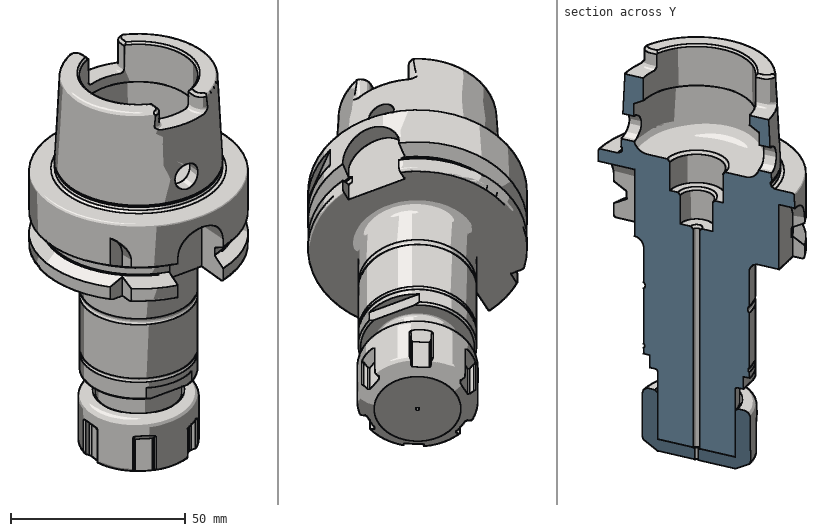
import cadquery as cq
import math

TOTAL_HEIGHT = 126.0
BEYOND = 75.6

SHANK_LENGTH = 32.0
FLANGE_TOP = TOTAL_HEIGHT - SHANK_LENGTH
TAPER_RADIUS_DROP = 1 / 20
TAPER_BASE_RADIUS = 24.2
TAPER_BASE_HEIGHT = FLANGE_TOP + 2.1
TAPER_TOP_RADIUS = TAPER_BASE_RADIUS - TAPER_RADIUS_DROP * (TOTAL_HEIGHT - TAPER_BASE_HEIGHT)
SHANK_ROUND = 1.3
RELIEF_DEPTH = 0.4
RELIEF_BOTTOM = FLANGE_TOP + 0.5
RELIEF_FLOOR_BOTTOM = RELIEF_BOTTOM + 0.8
RELIEF_FOOT_WIDTH = 1.0

BORE_RADIUS = 17.0
BORE_CHAMFER = 0.6
BORE_LENGTH = 13.2
UNDERCUT_RADIUS = 20.0
UNDERCUT_CONE_ANGLE = 60.0
BORE_FLOOR = 95.8
BORE_FLOOR_ROUND = 4.3
PIPE_SEAT_RADIUS = 8.5
PIPE_SEAT_CHAMFER = 0.9
PIPE_SEAT_DEPTH = 10.1
PILOT_RADIUS = 5.2
PILOT_CHAMFER = 0.8
PILOT_DEPTH = 10.1
COOLANT_RADIUS = 1.0
COOLANT_CHAMFER = 0.8
NUT_HOLE_RADIUS = 0.5

NOTCH_HALF_WIDTH = 6.3
NOTCH_CORNER_RADIUS = 3.0
NOTCH_TANGENT_RADIUS = 23.2
NOTCH_RIM_CHAMFER = 0.9
NOTCH_FLOOR_ROUND = 1.4
LEFT_NOTCH_FLOOR = 116.0
RIGHT_NOTCH_FLOOR = 120.2

CROSS_HOLE_RADIUS = 4.0
CROSS_HOLE_HEIGHT = 103.0

FLANGE_RADIUS = 31.5
FLANGE_WIDTH = 26.0
FLANGE_BOTTOM = FLANGE_TOP - FLANGE_WIDTH
FLANGE_ROUND = 0.9
GROOVE_HEIGHT = FLANGE_TOP - 17.9
GROOVE_RADIUS = 27.6
GROOVE_MOUTH = 7.2
GROOVE_FLANK_ANGLE = 30.0
GROOVE_CORNER = 0.3
GROOVE_FLOOR = GROOVE_MOUTH - 2 * (FLANGE_RADIUS - GROOVE_RADIUS) * math.tan(math.radians(GROOVE_FLANK_ANGLE))

LEFT_KEYWAY_FLOOR = 26.5
LEFT_KEYWAY_WIDTH = 18.0
LEFT_KEYWAY_TOP = 89.1
RIGHT_KEYWAY_FLOOR = 19.9
RIGHT_KEYWAY_WIDTH = 16.0
RIGHT_KEYWAY_TOP = 89.7
CORNER_SLOT_WALL = 20.0

LABEL_LENGTH = 20.0
LABEL_HEIGHT = 6.3
LABEL_MID_HEIGHT = 87.0
LABEL_ANGLE = 135.0

BODY_RADIUS = 17.0
BODY_ROUND = 2.9
COLLAR_BOTTOM = 26.5
COLLAR_CHAMFER = 0.6
UPPER_RING_HEIGHT = 52.8
UPPER_RING_WIDTH = 2.0
UPPER_RING_DEPTH = 0.5
LOWER_RING_HEIGHT = 33.1
LOWER_RING_WIDTH = 1.3
LOWER_RING_DEPTH = 0.4
NECK_RADIUS = 12.5
NECK_ROUND = 0.8
NECK_BOTTOM = 3.8
WRENCH_FLAT_DISTANCE = 15.0
WRENCH_FLAT_TOP = 30.5

NUT_RADIUS = 17.4
NUT_HEIGHT = 19.8
NUT_TOP_ROUND = 2.3
NUT_FACE_RADIUS = 12.5
NUT_CONE_ANGLE = 30.0
NUT_CONE_HEIGHT = (NUT_RADIUS - NUT_FACE_RADIUS) * math.tan(math.radians(NUT_CONE_ANGLE))
NUT_LOWER_ROUND = 1.5
NUT_MOUTH_CHAMFER = 0.8

SLOT_COUNT = 6
SLOT_FIRST_ANGLE = 30.0
SLOT_FLOOR_DISTANCE = 14.9
SLOT_FLOOR_HALF_WIDTH = 2.46
SLOT_FLOOR_CHAMFER = 0.44
SLOT_HALF_WIDTH = SLOT_FLOOR_HALF_WIDTH + SLOT_FLOOR_CHAMFER
SLOT_FLARE = 0.5
SLOT_MOUTH_HALF_WIDTH = SLOT_HALF_WIDTH + SLOT_FLARE
SLOT_MOUTH_DISTANCE = math.sqrt(NUT_RADIUS**2 - SLOT_MOUTH_HALF_WIDTH**2)
SLOT_TOP_CORNER = 0.9
FRONT_SLOT_TOP = 14.7
BACK_SLOT_TOP = 13.2


def revolved(outline):
    """Turn a closed outline of (radius, height) points around Z."""
    return outline.close().revolve(360, (0, 0), (0, 1))


def turned_body():
    """Outer shape of the holder: neck, body, flange and taper shank."""
    flank_end_radius = GROOVE_RADIUS + GROOVE_CORNER * math.cos(math.radians(GROOVE_FLANK_ANGLE))
    flank_end_offset = GROOVE_FLOOR / 2 + GROOVE_CORNER * math.sin(math.radians(GROOVE_FLANK_ANGLE))
    floor_end_offset = GROOVE_FLOOR / 2 - GROOVE_CORNER
    outline = (
        cq.Workplane("XZ")
        .moveTo(0, NECK_BOTTOM)
        .lineTo(NECK_RADIUS, NECK_BOTTOM)
        .lineTo(NECK_RADIUS, COLLAR_BOTTOM - NECK_ROUND)
        .tangentArcPoint((NECK_RADIUS + NECK_ROUND, COLLAR_BOTTOM), relative=False)
        .lineTo(BODY_RADIUS - COLLAR_CHAMFER, COLLAR_BOTTOM)
        .lineTo(BODY_RADIUS, COLLAR_BOTTOM + COLLAR_CHAMFER)
        .lineTo(BODY_RADIUS, FLANGE_BOTTOM - BODY_ROUND)
        .tangentArcPoint((BODY_RADIUS + BODY_ROUND, FLANGE_BOTTOM), relative=False)
        .lineTo(FLANGE_RADIUS - FLANGE_ROUND, FLANGE_BOTTOM)
        .tangentArcPoint((FLANGE_RADIUS, FLANGE_BOTTOM + FLANGE_ROUND), relative=False)
        .lineTo(FLANGE_RADIUS, GROOVE_HEIGHT - GROOVE_MOUTH / 2)
        .lineTo(flank_end_radius, GROOVE_HEIGHT - flank_end_offset)
        .tangentArcPoint((GROOVE_RADIUS, GROOVE_HEIGHT - floor_end_offset), relative=False)
        .lineTo(GROOVE_RADIUS, GROOVE_HEIGHT + floor_end_offset)
        .tangentArcPoint((flank_end_radius, GROOVE_HEIGHT + flank_end_offset), relative=False)
        .lineTo(FLANGE_RADIUS, GROOVE_HEIGHT + GROOVE_MOUTH / 2)
        .lineTo(FLANGE_RADIUS, FLANGE_TOP - FLANGE_ROUND)
        .tangentArcPoint((FLANGE_RADIUS - FLANGE_ROUND, FLANGE_TOP), relative=False)
        .lineTo(TAPER_BASE_RADIUS + RELIEF_FOOT_WIDTH, FLANGE_TOP)
        .lineTo(TAPER_BASE_RADIUS, RELIEF_BOTTOM)
        .lineTo(TAPER_BASE_RADIUS - RELIEF_DEPTH, RELIEF_FLOOR_BOTTOM)
        .lineTo(TAPER_BASE_RADIUS - RELIEF_DEPTH, TAPER_BASE_HEIGHT - RELIEF_DEPTH)
        .lineTo(TAPER_BASE_RADIUS, TAPER_BASE_HEIGHT)
        .lineTo(TAPER_TOP_RADIUS, TOTAL_HEIGHT)
        .lineTo(0, TOTAL_HEIGHT)
    )
    return revolved(outline).faces(">Z").edges().fillet(SHANK_ROUND)


def ring_groove(height, width, depth):
    """Round-bottomed groove around the body."""
    outline = (
        cq.Workplane("XZ")
        .moveTo(BODY_RADIUS, height - width / 2)
        .threePointArc((BODY_RADIUS - depth, height), (BODY_RADIUS, height + width / 2))
        .lineTo(BODY_RADIUS + depth, height + width / 2)
        .lineTo(BODY_RADIUS + depth, height - width / 2)
    )
    return revolved(outline)


def stepped_bore():
    """Shank bore with its undercut, then the stepped coolant passage."""
    bore_end = TOTAL_HEIGHT - BORE_LENGTH
    undercut_rise = (UNDERCUT_RADIUS - BORE_RADIUS) / math.tan(math.radians(UNDERCUT_CONE_ANGLE))
    seat_floor = BORE_FLOOR - PIPE_SEAT_DEPTH
    pilot_floor = seat_floor - PILOT_DEPTH
    outline = (
        cq.Workplane("XZ")
        .moveTo(0, TOTAL_HEIGHT)
        .lineTo(BORE_RADIUS + BORE_CHAMFER, TOTAL_HEIGHT)
        .lineTo(BORE_RADIUS, TOTAL_HEIGHT - BORE_CHAMFER)
        .lineTo(BORE_RADIUS, bore_end)
        .lineTo(UNDERCUT_RADIUS, bore_end - undercut_rise)
        .lineTo(UNDERCUT_RADIUS, BORE_FLOOR + BORE_FLOOR_ROUND)
        .tangentArcPoint((UNDERCUT_RADIUS - BORE_FLOOR_ROUND, BORE_FLOOR), relative=False)
        .lineTo(PIPE_SEAT_RADIUS + PIPE_SEAT_CHAMFER, BORE_FLOOR)
        .lineTo(PIPE_SEAT_RADIUS, BORE_FLOOR - PIPE_SEAT_CHAMFER)
        .lineTo(PIPE_SEAT_RADIUS, seat_floor)
        .lineTo(PILOT_RADIUS + PILOT_CHAMFER, seat_floor)
        .lineTo(PILOT_RADIUS, seat_floor - PILOT_CHAMFER)
        .lineTo(PILOT_RADIUS, pilot_floor)
        .lineTo(COOLANT_RADIUS + COOLANT_CHAMFER, pilot_floor)
        .lineTo(COOLANT_RADIUS, pilot_floor - COOLANT_CHAMFER)
        .lineTo(COOLANT_RADIUS, NECK_BOTTOM)
        .lineTo(0, NECK_BOTTOM)
    )
    return revolved(outline)


def notch_outline(height):
    """Plan of a drive notch on the +X side: parallel walls whose outer corners are rounded."""
    corner_y = NOTCH_HALF_WIDTH + NOTCH_CORNER_RADIUS
    corner_x = math.sqrt((NOTCH_TANGENT_RADIUS - NOTCH_CORNER_RADIUS) ** 2 - corner_y**2)
    angle = math.atan2(corner_y, corner_x)
    round_end_x = NOTCH_TANGENT_RADIUS * math.cos(angle)
    round_end_y = NOTCH_TANGENT_RADIUS * math.sin(angle)
    clear_x = round_end_x - NOTCH_TANGENT_RADIUS * math.sin(angle)
    clear_y = round_end_y + NOTCH_TANGENT_RADIUS * math.cos(angle)
    return (
        cq.Workplane("XY", origin=(0, 0, height))
        .moveTo(0, -NOTCH_HALF_WIDTH)
        .lineTo(corner_x, -NOTCH_HALF_WIDTH)
        .tangentArcPoint((round_end_x, -round_end_y), relative=False)
        .lineTo(clear_x, -clear_y)
        .lineTo(BEYOND, -clear_y)
        .lineTo(BEYOND, clear_y)
        .lineTo(clear_x, clear_y)
        .lineTo(round_end_x, round_end_y)
        .tangentArcPoint((corner_x, NOTCH_HALF_WIDTH), relative=False)
        .lineTo(0, NOTCH_HALF_WIDTH)
        .close()
    )


def drive_notch(floor_height, angle):
    """Notch in the shank end with a rounded floor and a chamfered rim."""
    slot = notch_outline(floor_height).extrude(BEYOND).faces("<Z").edges().fillet(NOTCH_FLOOR_ROUND)
    rim = notch_outline(TOTAL_HEIGHT - NOTCH_RIM_CHAMFER).extrude(NOTCH_RIM_CHAMFER, taper=-45)
    return slot.union(rim).rotate((0, 0, 0), (0, 0, 1), angle)


def keyway(floor_distance, width, top, middle_y, side):
    """Round-topped slot cut inwards along X as far as its floor."""
    radius = width / 2
    arc_height = top - radius
    return (
        cq.Workplane("YZ", origin=(side * floor_distance, 0, 0))
        .moveTo(middle_y - radius, FLANGE_BOTTOM)
        .lineTo(middle_y - radius, arc_height)
        .threePointArc((middle_y, top), (middle_y + radius, arc_height))
        .lineTo(middle_y + radius, FLANGE_BOTTOM)
        .close()
        .extrude(side * BEYOND)
    )


def label_flat():
    """Shallow flat for a label on the flange rim."""
    distance = math.sqrt(FLANGE_RADIUS**2 - (LABEL_LENGTH / 2) ** 2)
    return (
        cq.Workplane("XY")
        .box(BEYOND, LABEL_LENGTH, LABEL_HEIGHT, centered=(False, True, True))
        .translate((distance, 0, LABEL_MID_HEIGHT))
        .rotate((0, 0, 0), (0, 0, 1), LABEL_ANGLE)
    )


def wrench_flat(side):
    """Flat on the collar, open downwards to the neck."""
    return (
        cq.Workplane("XY")
        .box(BEYOND, BEYOND, WRENCH_FLAT_TOP - COLLAR_BOTTOM, centered=(True, True, False))
        .translate((side * (WRENCH_FLAT_DISTANCE + BEYOND / 2), 0, COLLAR_BOTTOM))
    )


def make_holder():
    cross_hole = (
        cq.Workplane("YZ")
        .center(0, CROSS_HOLE_HEIGHT)
        .circle(CROSS_HOLE_RADIUS)
        .extrude(BEYOND, both=True)
    )
    corner_slot_middle = -CORNER_SLOT_WALL - RIGHT_KEYWAY_WIDTH / 2
    cuts = [
        ring_groove(UPPER_RING_HEIGHT, UPPER_RING_WIDTH, UPPER_RING_DEPTH),
        ring_groove(LOWER_RING_HEIGHT, LOWER_RING_WIDTH, LOWER_RING_DEPTH),
        stepped_bore(),
        cross_hole,
        drive_notch(LEFT_NOTCH_FLOOR, 180),
        drive_notch(RIGHT_NOTCH_FLOOR, 0),
        keyway(LEFT_KEYWAY_FLOOR, LEFT_KEYWAY_WIDTH, LEFT_KEYWAY_TOP, 0, -1),
        keyway(RIGHT_KEYWAY_FLOOR, RIGHT_KEYWAY_WIDTH, RIGHT_KEYWAY_TOP, 0, 1),
        keyway(RIGHT_KEYWAY_FLOOR, RIGHT_KEYWAY_WIDTH, RIGHT_KEYWAY_TOP, corner_slot_middle, 1),
        label_flat(),
        wrench_flat(-1),
        wrench_flat(1),
    ]
    holder = turned_body()
    for cut in cuts:
        holder = holder.cut(cut)
    return holder


def turned_nut():
    """Nut blank with a recess that takes the holder's neck."""
    setback = NUT_LOWER_ROUND * math.tan(math.radians(90 - NUT_CONE_ANGLE) / 2)
    cone_end_radius = NUT_RADIUS - setback * math.cos(math.radians(NUT_CONE_ANGLE))
    cone_end_height = NUT_CONE_HEIGHT - setback * math.sin(math.radians(NUT_CONE_ANGLE))
    outline = (
        cq.Workplane("XZ")
        .moveTo(NUT_HOLE_RADIUS, 0)
        .lineTo(NUT_FACE_RADIUS, 0)
        .lineTo(cone_end_radius, cone_end_height)
        .tangentArcPoint((NUT_RADIUS, NUT_CONE_HEIGHT + setback), relative=False)
        .lineTo(NUT_RADIUS, NUT_HEIGHT - NUT_TOP_ROUND)
        .tangentArcPoint((NUT_RADIUS - NUT_TOP_ROUND, NUT_HEIGHT), relative=False)
        .lineTo(NECK_RADIUS + NUT_MOUTH_CHAMFER, NUT_HEIGHT)
        .lineTo(NECK_RADIUS, NUT_HEIGHT - NUT_MOUTH_CHAMFER)
        .lineTo(NECK_RADIUS, NECK_BOTTOM)
        .lineTo(NUT_HOLE_RADIUS, NECK_BOTTOM)
    )
    return revolved(outline)


def spanner_slot(top, angle):
    """Slot with flared sides and a 45 degree upper end, open at the nut's lower face."""
    section_half = [
        (SLOT_FLOOR_DISTANCE, SLOT_FLOOR_HALF_WIDTH),
        (SLOT_FLOOR_DISTANCE + SLOT_FLOOR_CHAMFER, SLOT_HALF_WIDTH),
        (SLOT_MOUTH_DISTANCE - SLOT_FLARE, SLOT_HALF_WIDTH),
        (SLOT_MOUTH_DISTANCE, SLOT_MOUTH_HALF_WIDTH),
        (BEYOND, SLOT_MOUTH_HALF_WIDTH),
    ]
    mirrored_half = [(x, -y) for x, y in reversed(section_half)]
    section = cq.Workplane("XY").polyline(section_half + mirrored_half).close().extrude(top)

    floor_top = top - (NUT_RADIUS - SLOT_FLOOR_DISTANCE)
    side_profile = (
        cq.Workplane("XZ")
        .polyline(
            [
                (SLOT_FLOOR_DISTANCE, 0),
                (SLOT_FLOOR_DISTANCE, floor_top),
                (NUT_RADIUS, top),
                (BEYOND, top),
                (BEYOND, 0),
            ]
        )
        .close()
        .extrude(SLOT_MOUTH_HALF_WIDTH, both=True)
    )
    front_profile = (
        cq.Workplane("YZ")
        .rect(2 * SLOT_MOUTH_HALF_WIDTH, 2 * top)
        .extrude(BEYOND)
        .edges("|X and >Z")
        .chamfer(SLOT_TOP_CORNER)
    )
    slot = section.intersect(side_profile).intersect(front_profile)
    return slot.rotate((0, 0, 0), (0, 0, 1), angle)


def make_nut():
    nut = turned_nut()
    for index in range(SLOT_COUNT):
        angle = SLOT_FIRST_ANGLE + index * 360 / SLOT_COUNT
        top = BACK_SLOT_TOP if angle < 180 else FRONT_SLOT_TOP
        nut = nut.cut(spanner_slot(top, angle))
    return nut


holder = make_holder()
nut = make_nut()

result = cq.Compound.makeCompound([holder.solids().val(), nut.solids().val()])